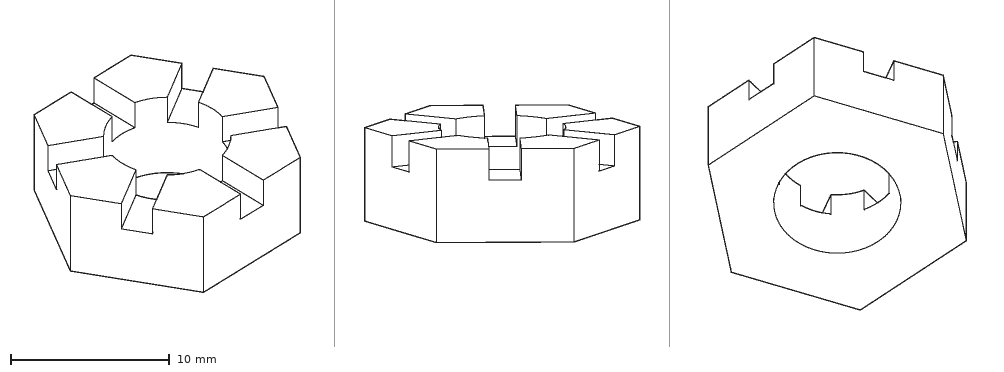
import cadquery as cq

across_corners = 17.32
height = 6.0
bore_diameter = 8.0
slot_width = 2.03
slot_depth = 2.0
side_count = 6

body = (
    cq.Workplane("XY")
    .polygon(side_count, across_corners)
    .circle(bore_diameter / 2)
    .extrude(height)
)


def slot_cutter(angle):
    """Bar across the whole nut at the top face, turned about Z from the Y direction."""
    return (
        cq.Workplane("XY")
        .workplane(offset=height - slot_depth)
        .rect(slot_width, across_corners)
        .extrude(slot_depth)
        .rotate((0, 0, 0), (0, 0, 1), angle)
    )


slot_spacing = 360 / side_count
for index in range(side_count // 2):
    body = body.cut(slot_cutter(index * slot_spacing))

result = body